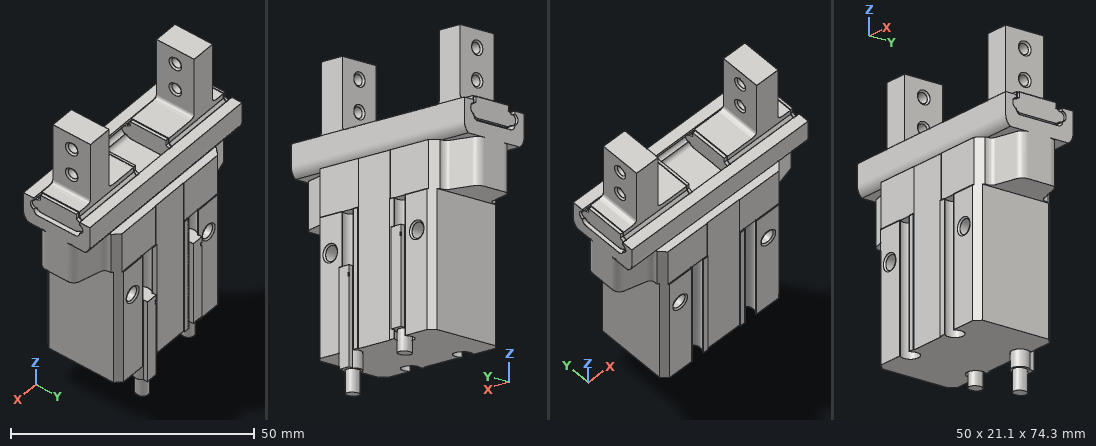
import cadquery as cq
import math


BLOCK_HALF_X = 16.95
BLOCK_HALF_Y = 10.0
BLOCK_TOP = 30.2
BLOCK_CHAMFER = 1.5

HEAD_TOP = 40.65
HEAD_HALF_X = 17.3
HEAD_HALF_Y = 9.8
HEAD_CHAMFER = HEAD_HALF_X + HEAD_HALF_Y - (BLOCK_HALF_X + BLOCK_HALF_Y - BLOCK_CHAMFER)
LUG_TIP_HALF_Y = 4.45
LUG_ROOT_HALF_Y = 6.55
LUG_TIP_RADIUS = 2.0
LUG_ROOT_RADIUS = 1.5

CHANNEL_WIDTH = 9.15
CHANNEL_FLOOR_Y = 9.7

MOUNT_SPACING = 25.0
MOUNT_Z = 21.9
MOUNT_DIAMETER = 3.4
MOUNT_RIM_DIAMETER = 4.15

SLOT_X = 7.5
SLOT_BORE_DIAMETER = 4.15
SLOT_BORE_Y = 8.5
SLOT_MOUTH_WIDTH = 3.1

RAIL_LENGTH = 50.0
RAIL_HALF_Y = 8.8
RAIL_TOP = 48.1
RAIL_CORNER_RADIUS = 3.0
RAIL_CORNER_HEIGHT = 2.4
RAIL_MOUTH_HALF_Y = 6.0
GROOVE_FLOOR = 43.85

FLANK_RADIUS = 1.3
FLANK_Y = 5.65
FLANK_Z = 46.2

FINGER_TOP = 65.4
FINGER_HALF_Y = 5.0
BLADE_X = 17.0
BLADE_THICKNESS = 6.1
CARRIAGE_X = 14.7
CARRIAGE_LENGTH = 18.0
CARRIAGE_TOP = 49.4
CARRIAGE_HALF_HEIGHT = 1.9
CAP_THICKNESS = 0.75
CAP_INSET = 0.2
CAP_FLANK_INSET = 0.1
BLADE_FILLET_RADIUS = 0.8
BLADE_FILLET_RUN = 0.7
BLADE_FILLET_RISE = 0.75
FOOT_RAMP_RUN = 0.7
FOOT_RAMP_RISE = 0.15
FINGER_HOLE_DIAMETER = 2.45
FINGER_HOLE_RIM_DIAMETER = 3.3
FINGER_HOLE_HEIGHTS = (54.4, 61.4)

SENSOR_LENGTH = 21.85
SENSOR_FACE_Y = 11.1
SENSOR_NECK_WIDTH = 2.8
CABLE_HEIGHT_Y = 3.3
NOTCH_DROP = 2.0
NOTCH_HEIGHT = 0.7
NOTCH_DEPTH = 0.2
SENSOR_PLACES = (
    (-SLOT_X, 1.8, -3.1),
    (SLOT_X, -3.9, -8.9),
)


def box_between(x_range, y_range, z_range):
    """Box given by its limits along each axis."""
    corner = (x_range[0], y_range[0], z_range[0])
    size = (x_range[1] - x_range[0], y_range[1] - y_range[0], z_range[1] - z_range[0])
    return cq.Workplane("XY").box(*size, centered=False).translate(corner)


def rimmed_hole(diameter, rim_diameter, length):
    """Cutter along Z, centred on the origin, with a 45 degree rim at both ends."""
    rim = (rim_diameter - diameter) / 2
    bore = cq.Workplane("XY").circle(diameter / 2).extrude(length / 2 - rim)
    flare = (
        cq.Workplane("XY", origin=(0, 0, length / 2 - rim))
        .circle(diameter / 2)
        .workplane(offset=rim)
        .circle(rim_diameter / 2)
        .loft(ruled=True)
    )
    half = bore.union(flare)
    return half.union(half.mirror("XY"))


def cylinder_block():
    """Lower block with its four upright corners chamfered."""
    return (
        cq.Workplane("XY")
        .rect(2 * BLOCK_HALF_X, 2 * BLOCK_HALF_Y)
        .extrude(BLOCK_TOP)
        .edges("|Z")
        .chamfer(BLOCK_CHAMFER)
    )


def head():
    """Upper block: chamfered corners and a rounded, tapered lug at each end."""
    quarter = [
        (RAIL_LENGTH / 2, LUG_TIP_HALF_Y),
        (HEAD_HALF_X, LUG_ROOT_HALF_Y),
        (HEAD_HALF_X, HEAD_HALF_Y - HEAD_CHAMFER),
        (HEAD_HALF_X - HEAD_CHAMFER, HEAD_HALF_Y),
    ]
    back = quarter + [(-x, y) for x, y in reversed(quarter)]
    outline = back + [(x, -y) for x, y in reversed(back)]
    body = (
        cq.Workplane("XY", origin=(0, 0, BLOCK_TOP))
        .polyline(outline)
        .close()
        .extrude(HEAD_TOP - BLOCK_TOP)
    )
    body = body.edges("|Z and (<X or >X)").fillet(LUG_TIP_RADIUS)
    for x in (-HEAD_HALF_X, HEAD_HALF_X):
        for y in (-LUG_ROOT_HALF_Y, LUG_ROOT_HALF_Y):
            root = cq.selectors.NearestToPointSelector((x, y, (BLOCK_TOP + HEAD_TOP) / 2))
            body = body.edges("|Z").edges(root).fillet(LUG_ROOT_RADIUS)
    return body


def rail():
    """Guide rail along X, with rounded lower corners and an undercut groove."""
    corner_inset = RAIL_CORNER_RADIUS - math.sqrt(RAIL_CORNER_RADIUS**2 - RAIL_CORNER_HEIGHT**2)
    corner_z = HEAD_TOP + RAIL_CORNER_HEIGHT
    bottom_half_y = RAIL_HALF_Y - corner_inset
    body = (
        cq.Workplane("YZ", origin=(-RAIL_LENGTH / 2, 0, 0))
        .moveTo(-RAIL_HALF_Y, RAIL_TOP)
        .lineTo(-RAIL_HALF_Y, corner_z)
        .radiusArc((-bottom_half_y, HEAD_TOP), -RAIL_CORNER_RADIUS)
        .lineTo(bottom_half_y, HEAD_TOP)
        .radiusArc((RAIL_HALF_Y, corner_z), -RAIL_CORNER_RADIUS)
        .lineTo(RAIL_HALF_Y, RAIL_TOP)
        .close()
        .extrude(RAIL_LENGTH)
    )
    return body.cut(rail_groove())


def rail_groove():
    """Groove cutter: open mouth, round flanks and a floor with rounded corners."""
    flank_rise = math.sqrt(FLANK_RADIUS**2 - (RAIL_MOUTH_HALF_Y - FLANK_Y) ** 2)
    flank_tip = FLANK_Y + FLANK_RADIUS
    upper_z = FLANK_Z + flank_rise
    lower_z = FLANK_Z - flank_rise
    floor_radius = lower_z - GROOVE_FLOOR
    floor_half_y = RAIL_MOUTH_HALF_Y - floor_radius
    return (
        cq.Workplane("YZ", origin=(-RAIL_LENGTH / 2, 0, 0))
        .moveTo(-RAIL_MOUTH_HALF_Y, RAIL_TOP)
        .lineTo(-RAIL_MOUTH_HALF_Y, upper_z)
        .threePointArc((-flank_tip, FLANK_Z), (-RAIL_MOUTH_HALF_Y, lower_z))
        .radiusArc((-floor_half_y, GROOVE_FLOOR), -floor_radius)
        .lineTo(floor_half_y, GROOVE_FLOOR)
        .radiusArc((RAIL_MOUTH_HALF_Y, lower_z), -floor_radius)
        .threePointArc((flank_tip, FLANK_Z), (RAIL_MOUTH_HALF_Y, upper_z))
        .lineTo(RAIL_MOUTH_HALF_Y, RAIL_TOP)
        .close()
        .extrude(RAIL_LENGTH)
    )


def face_channel(side):
    """Cutter for the middle channel of the back (side = 1) or front (side = -1) face."""
    y_range = sorted((side * CHANNEL_FLOOR_Y, side * BLOCK_HALF_Y))
    return box_between((-CHANNEL_WIDTH / 2, CHANNEL_WIDTH / 2), y_range, (0, HEAD_TOP))


def sensor_slot(x, side):
    """Cutter for one sensor slot: a bore along Z that opens through a narrower mouth."""
    bore = (
        cq.Workplane("XY")
        .center(x, side * SLOT_BORE_Y)
        .circle(SLOT_BORE_DIAMETER / 2)
        .extrude(BLOCK_TOP)
    )
    mouth_x = (x - SLOT_MOUTH_WIDTH / 2, x + SLOT_MOUTH_WIDTH / 2)
    mouth_y = sorted((side * SLOT_BORE_Y, side * BLOCK_HALF_Y))
    return bore.union(box_between(mouth_x, mouth_y, (0, BLOCK_TOP)))


def make_housing():
    """Cylinder block, head and rail in one piece."""
    body = cylinder_block().union(head()).union(rail())
    for side in (-1, 1):
        body = body.cut(face_channel(side))
        for x in (-SLOT_X, SLOT_X):
            body = body.cut(sensor_slot(x, side))
    mount_hole = rimmed_hole(MOUNT_DIAMETER, MOUNT_RIM_DIAMETER, 2 * BLOCK_HALF_Y)
    mount_hole = mount_hole.rotate((0, 0, 0), (1, 0, 0), 90)
    for x in (-MOUNT_SPACING / 2, MOUNT_SPACING / 2):
        body = body.cut(mount_hole.translate((x, 0, MOUNT_Z)))
    return body


def carriage_prism(length, inset, flank_inset):
    """Guided cross-section along X, centred at CARRIAGE_X and shrunk by the two insets."""
    radius = FLANK_RADIUS - flank_inset
    neck_half_y = FINGER_HALF_Y - inset
    shoulder_z = FLANK_Z + CARRIAGE_HALF_HEIGHT - inset
    bottom_z = FLANK_Z - CARRIAGE_HALF_HEIGHT + inset
    top_z = CARRIAGE_TOP - inset
    return (
        cq.Workplane("YZ", origin=(CARRIAGE_X - length / 2, 0, 0))
        .moveTo(-neck_half_y, top_z)
        .lineTo(-neck_half_y, shoulder_z)
        .lineTo(-FLANK_Y, FLANK_Z + radius)
        .threePointArc((-FLANK_Y - radius, FLANK_Z), (-FLANK_Y, FLANK_Z - radius))
        .lineTo(-neck_half_y, bottom_z)
        .lineTo(neck_half_y, bottom_z)
        .lineTo(FLANK_Y, FLANK_Z - radius)
        .threePointArc((FLANK_Y + radius, FLANK_Z), (FLANK_Y, FLANK_Z + radius))
        .lineTo(neck_half_y, shoulder_z)
        .lineTo(neck_half_y, top_z)
        .close()
        .extrude(length)
    )


def finger_blade():
    """Upright blade with a fillet and a gentle ramp at its foot on both sides."""
    half = BLADE_THICKNESS / 2
    ramp_top_x = half + BLADE_FILLET_RUN
    ramp_foot_x = ramp_top_x + FOOT_RAMP_RUN
    ramp_top = CARRIAGE_TOP + FOOT_RAMP_RISE
    fillet_top = ramp_top + BLADE_FILLET_RISE
    return (
        cq.Workplane("XZ", origin=(BLADE_X, FINGER_HALF_Y, 0))
        .moveTo(-ramp_foot_x, CARRIAGE_TOP)
        .lineTo(-ramp_top_x, ramp_top)
        .radiusArc((-half, fillet_top), -BLADE_FILLET_RADIUS)
        .lineTo(-half, FINGER_TOP)
        .lineTo(half, FINGER_TOP)
        .lineTo(half, fillet_top)
        .radiusArc((ramp_top_x, ramp_top), -BLADE_FILLET_RADIUS)
        .lineTo(ramp_foot_x, CARRIAGE_TOP)
        .close()
        .extrude(2 * FINGER_HALF_Y)
    )


def make_finger():
    """Finger on the +X side: carriage, thin end caps, blade and its two holes."""
    carriage = carriage_prism(CARRIAGE_LENGTH, 0, 0)
    caps = carriage_prism(CARRIAGE_LENGTH + 2 * CAP_THICKNESS, CAP_INSET, CAP_FLANK_INSET)
    body = carriage.union(caps).union(finger_blade())
    hole = rimmed_hole(FINGER_HOLE_DIAMETER, FINGER_HOLE_RIM_DIAMETER, BLADE_THICKNESS)
    hole = hole.rotate((0, 0, 0), (0, 1, 0), 90)
    for z in FINGER_HOLE_HEIGHTS:
        body = body.cut(hole.translate((BLADE_X, 0, z)))
    return body


def make_sensor(x, bottom, cable_end):
    """Sensor in a back slot: round body, flat-faced neck and an oblong cable."""
    top = bottom + SENSOR_LENGTH
    half_neck = SENSOR_NECK_WIDTH / 2
    body = (
        cq.Workplane("XY", origin=(x, SLOT_BORE_Y, bottom))
        .circle(SLOT_BORE_DIAMETER / 2)
        .extrude(SENSOR_LENGTH)
    )
    neck = box_between((x - half_neck, x + half_neck), (SLOT_BORE_Y, SENSOR_FACE_Y), (bottom, top))
    cable = (
        cq.Workplane("XY", origin=(x, SLOT_BORE_Y, cable_end))
        .slot2D(CABLE_HEIGHT_Y, SENSOR_NECK_WIDTH, 90)
        .extrude(bottom - cable_end)
    )
    notch_z = top - NOTCH_DROP
    notch = box_between(
        (x - half_neck, x - half_neck + NOTCH_DEPTH),
        (SENSOR_FACE_Y - NOTCH_DEPTH, SENSOR_FACE_Y),
        (notch_z - NOTCH_HEIGHT / 2, notch_z + NOTCH_HEIGHT / 2),
    )
    return body.union(neck).union(cable).cut(notch)


housing = make_housing()
right_finger = make_finger()
left_finger = right_finger.mirror("YZ")
sensors = [make_sensor(*place) for place in SENSOR_PLACES]

result = cq.Compound.makeCompound(
    [housing.val(), left_finger.val(), right_finger.val()] + [sensor.val() for sensor in sensors]
)